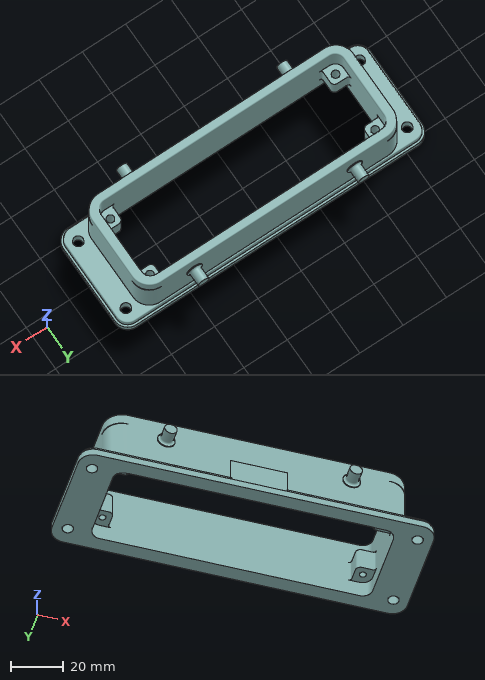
import cadquery as cq

flange_length = 142.0
flange_width = 47.0
flange_corner_radius = 6.0
flange_lower_height = 3.2
flange_height = 5.4
flange_step = 1.0
flange_edge_round = 0.5

total_height = 29.0
wall_length = 120.5
wall_width = 43.2
wall_corner_radius = 7.5
collar_corner_radius = 8.0
collar_height = 5.3
rim_round = 0.5

cavity_length = 112.0
cavity_width = 35.4
cavity_corner_radius = 4.0
cavity_rim_round = 0.6
rim_pick_margin = 0.1

mount_hole_diameter = 4.3
mount_pitch_x = 130.0
mount_pitch_y = 32.5

boss_pitch_x = 104.0
boss_pitch_y = 27.0
boss_inner_offset = 3.5
boss_corner_radius = 2.0
boss_blend_radius = 1.0
boss_embed = 1.0
boss_bottom = 7.5
boss_top = 17.5
boss_hole_top_diameter = 3.3
boss_hole_bottom_diameter = 2.6

pin_span = 56.0
pin_pitch = 74.0
pin_axis_height = 19.0
pin_radius = 2.5
pin_base_radius = 3.5
pin_base_face = 22.0
pin_root_cover = 1.0
pin_fillet_radius = pin_base_radius - pin_radius

pad_width = 22.8
pad_top = 15.1
pad_edge_round = 0.5


def rounded_block(length, width, radius, bottom, top):
    """Block centred on Z with rounded vertical edges, between two heights."""
    block = cq.Workplane("XY").workplane(offset=bottom).rect(length, width).extrude(top - bottom)
    return block.edges("|Z").fillet(radius)


def make_flange():
    lower = rounded_block(flange_length, flange_width, flange_corner_radius, 0, flange_lower_height)
    upper = rounded_block(
        flange_length - 2 * flange_step,
        flange_width - 2 * flange_step,
        flange_corner_radius - flange_step,
        0,
        flange_height,
    )
    return lower.union(upper.faces(">Z").edges().fillet(flange_edge_round))


def make_wall():
    collar_bottom = total_height - collar_height
    lower = rounded_block(wall_length, wall_width, wall_corner_radius, 0, collar_bottom)
    collar = rounded_block(wall_length, wall_width, collar_corner_radius, collar_bottom, total_height)
    return lower.union(collar.faces(">Z").edges().fillet(rim_round))


def make_pad():
    """Raised pad on the -Y wall with rounded front edges, flush with the flange's upper step."""
    depth = flange_width / 2 - flange_step
    pad = cq.Workplane("XY").box(pad_width, depth, pad_top, centered=(True, False, False))
    pad = pad.translate((0, -depth, 0))
    return pad.faces("<Y").edges("|Z or >Z").fillet(pad_edge_round)


def make_cavity():
    return rounded_block(cavity_length, cavity_width, cavity_corner_radius, 0, total_height)


def round_cavity_rim(body):
    """Round the inner edge of the opening at the top of the wall."""
    reach_x = cavity_length / 2 + rim_pick_margin
    reach_y = cavity_width / 2 + rim_pick_margin
    rim_edges = cq.selectors.BoxSelector(
        (-reach_x, -reach_y, total_height - rim_pick_margin),
        (reach_x, reach_y, total_height + rim_pick_margin),
        boundingbox=True,
    )
    return body.edges(rim_edges).fillet(cavity_rim_round)


def make_boss():
    """Pillar in the +X +Y cavity corner, blended into both walls, with a tapered hole."""
    inner_x = boss_pitch_x / 2 - boss_inner_offset
    inner_y = boss_pitch_y / 2 - boss_inner_offset
    wall_x = cavity_length / 2
    wall_y = cavity_width / 2
    boss_height = boss_top - boss_bottom
    boss = (
        cq.Workplane("XY", origin=(0, 0, boss_bottom))
        .moveTo(inner_x + boss_corner_radius, inner_y)
        .lineTo(wall_x - boss_blend_radius, inner_y)
        .radiusArc((wall_x, inner_y - boss_blend_radius), boss_blend_radius)
        .lineTo(wall_x + boss_embed, inner_y - boss_blend_radius)
        .lineTo(wall_x + boss_embed, wall_y + boss_embed)
        .lineTo(inner_x - boss_blend_radius, wall_y + boss_embed)
        .lineTo(inner_x - boss_blend_radius, wall_y)
        .radiusArc((inner_x, wall_y - boss_blend_radius), boss_blend_radius)
        .lineTo(inner_x, inner_y + boss_corner_radius)
        .radiusArc((inner_x + boss_corner_radius, inner_y), -boss_corner_radius)
        .close()
        .extrude(boss_height)
    )
    hole = cq.Workplane(
        cq.Solid.makeCone(
            boss_hole_bottom_diameter / 2,
            boss_hole_top_diameter / 2,
            boss_height,
            pnt=cq.Vector(boss_pitch_x / 2, boss_pitch_y / 2, boss_bottom),
        )
    )
    return boss.cut(hole)


def make_pin():
    """Pin pointing along +Y, with a flared foot standing on a thin disc."""
    root_y = cavity_width / 2 + pin_root_cover
    fillet_end = pin_base_face + pin_fillet_radius
    profile = (
        cq.Workplane("XY")
        .moveTo(0, root_y)
        .lineTo(pin_base_radius, root_y)
        .lineTo(pin_base_radius, pin_base_face)
        .radiusArc((pin_radius, fillet_end), pin_fillet_radius)
        .lineTo(pin_radius, pin_span / 2)
        .lineTo(0, pin_span / 2)
        .close()
    )
    pin = profile.revolve(360, (0, 0, 0), (0, 1, 0))
    return pin.translate((pin_pitch / 2, 0, pin_axis_height))


def four_fold(feature):
    """Repeat a feature of the +X +Y quarter in all four quarters."""
    pair = feature.union(feature.mirror("XZ"))
    return pair.union(pair.mirror("YZ"))


def make_mount_holes():
    return (
        cq.Workplane("XY")
        .rect(mount_pitch_x, mount_pitch_y, forConstruction=True)
        .vertices()
        .circle(mount_hole_diameter / 2)
        .extrude(flange_height)
    )


body = make_flange().union(make_wall()).union(make_pad())
body = round_cavity_rim(body.cut(make_cavity()))
body = body.union(four_fold(make_boss())).union(four_fold(make_pin()))
result = body.cut(make_mount_holes())